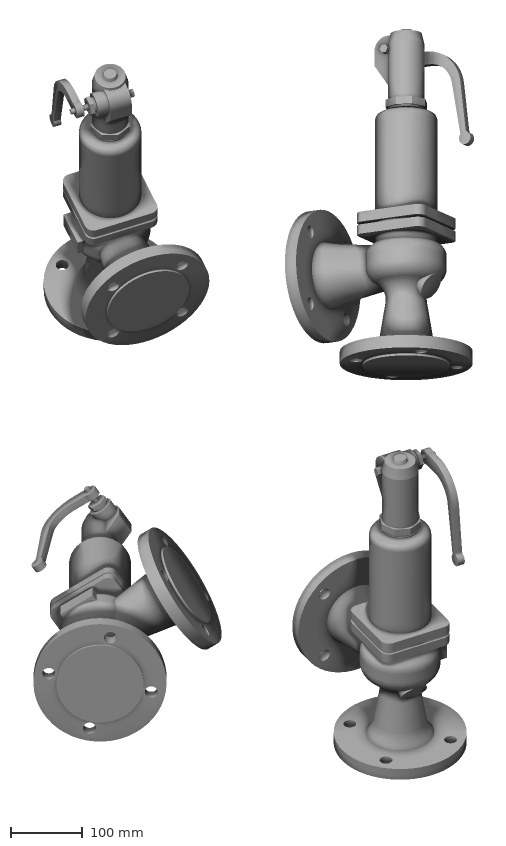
import cadquery as cq
import math


flange_radius = 92.5
flange_back = 21.0
raised_face_radius = 60.5
raised_face_height = 3.5
bolt_circle_radius = 72.5
bolt_hole_diameter = 18.0
bolt_count = 4
flare_root_radius = 47.0

inlet_flare_radius = 37.0
inlet_flare_end = 42.0

outlet_flare_radius = 41.5
outlet_flare_end = 43.5
outlet_end_radius = 31.0
outlet_length = 116.0
outlet_face_x = 145.0
outlet_axis_z = 145.0

throat_radius = 29.0
throat_z = 91.0
throat_bend_radius = 33.0
throat_bend_z = 110.7
body_radius = 56.5
body_foot_radius = 42.0
body_foot_z = 118.5
belt_bottom_z = 140.5
belt_top_z = 156.5
body_neck_radius = 45.0
body_neck_z = 174.0
groove_radius = 43.0
groove_bottom_z = 176.5
groove_round = 2.5

square_half_width = 53.5
square_corner_radius = 12.5
lower_flange_z = 183.5
gasket_z = 197.0
gasket_radius = 50.5
spigot_z = 199.0
spigot_radius = 47.5
upper_flange_z = 201.0
bonnet_z = 215.0

bonnet_radius = 43.5
bonnet_top_z = 362.5
bonnet_round = 10.5
foot_ring_z = 364.0
collar_radius = 21.5
washer_z = 366.5
nut_z = 369.5
nut_corner_radius = 30.0
nut_sides = 8
cap_z = 380.0
cap_radius = 25.5
cap_cone_z = 461.0
cap_top_radius = 21.5
cap_top_z = 476.5
button_base_radius = 10.5
button_top_radius = 8.5
overall_height = 481.5

plate_width = 54.0
plate_bottom_z = 141.5
plate_height = 23.5
plate_face_y = -59.0

drain_radius = 19.7
drain_face_x = -39.5
drain_face_z = 110.0
drain_slope = 35.0
drain_length = 33.5

pivot_x = 21.5
pivot_z = 452.5
housing_half_width = 16.0
housing_radius = 20.0
housing_side_bottom_z = 432.5
housing_tip_x = 19.7
housing_tip_z = 401.0
bearing_radius = 17.0
bearing_end_y = -32.5
spacer_radius = 11.5
hex_sides = 6
gland_start_y = -36.0
gland_end_y = -42.0
gland_corner_radius = 14.5
pin_radius = 4.1
pin_end_y = -67.5
plug_corner_radius = 6.5
plug_end_y = 26.0

lever_front_y = -61.5
lever_thickness = 10.5
hub_radius = 11.0
arm_width = 19.0
arm_half_width = arm_width / 2
outer_bend_x = -2.0
inner_bend_x = -7.0
bend_radius = 46.5
outer_bend_stop = 7.0
inner_bend_stop = 11.0
knob_x = -64.5
knob_z = 331.0
knob_radius = 9.0
knob_blend = 5.0
arm_end_outer = 3.0
arm_end_inner = 6.0


def z_cylinder(radius, bottom, top):
    return cq.Workplane("XY").workplane(offset=bottom).circle(radius).extrude(top - bottom)


def flanged_stub(flare_end_radius, flare_end, end_radius, end):
    """Flange, flare and tapering pipe along +Z, sealing face at Z = 0."""
    stub = (
        cq.Workplane("XZ")
        .lineTo(0, end)
        .lineTo(end_radius, end)
        .lineTo(flare_end_radius, flare_end)
        .tangentArcPoint((flare_root_radius, flange_back), relative=False)
        .lineTo(flange_radius, flange_back)
        .lineTo(flange_radius, raised_face_height)
        .lineTo(raised_face_radius, raised_face_height)
        .lineTo(raised_face_radius, 0)
        .close()
        .revolve(360, (0, 0, 0), (0, 1, 0))
    )
    holes = (
        cq.Workplane("XY")
        .polarArray(bolt_circle_radius, 180 / bolt_count, 360, bolt_count)
        .circle(bolt_hole_diameter / 2)
        .extrude(flange_back)
    )
    return stub.cut(holes)


def arc_radius(inset, rise):
    """Radius of an arc that leaves the vertical and moves in by inset over the given rise."""
    return (inset ** 2 + rise ** 2) / (2 * inset)


def body():
    lower_round = arc_radius(body_radius - body_foot_radius, belt_bottom_z - body_foot_z)
    groove_bend = arc_radius(body_neck_radius - groove_radius, groove_bottom_z - body_neck_z)
    return (
        cq.Workplane("XZ")
        .moveTo(0, throat_z)
        .lineTo(throat_radius, throat_z)
        .threePointArc((throat_bend_radius, throat_bend_z), (body_foot_radius, body_foot_z))
        .radiusArc((body_radius, belt_bottom_z), -lower_round)
        .lineTo(body_radius, belt_top_z)
        .tangentArcPoint((body_neck_radius, body_neck_z), relative=False)
        .radiusArc((groove_radius, groove_bottom_z), groove_bend)
        .lineTo(groove_radius, lower_flange_z - groove_round)
        .tangentArcPoint((groove_round, groove_round))
        .lineTo(0, lower_flange_z)
        .close()
        .revolve(360, (0, 0, 0), (0, 1, 0))
    )


def square_flange(bottom, top):
    side = 2 * square_half_width
    return (
        cq.Workplane("XY").workplane(offset=bottom).rect(side, side).extrude(top - bottom)
        .edges("|Z").fillet(square_corner_radius)
    )


def bonnet_and_cap():
    nut = (
        cq.Workplane("XY").workplane(offset=nut_z)
        .polygon(nut_sides, 2 * nut_corner_radius).extrude(cap_z - nut_z)
    )
    bonnet = z_cylinder(bonnet_radius, bonnet_z, bonnet_top_z).faces(">Z").edges().fillet(bonnet_round)
    cap = (
        cq.Workplane("XZ")
        .moveTo(0, bonnet_top_z)
        .lineTo(cap_radius, bonnet_top_z)
        .lineTo(cap_radius, foot_ring_z)
        .lineTo(collar_radius, foot_ring_z)
        .lineTo(collar_radius, washer_z)
        .lineTo(cap_radius, washer_z)
        .lineTo(cap_radius, cap_cone_z)
        .lineTo(cap_top_radius, cap_top_z)
        .lineTo(button_base_radius, cap_top_z)
        .lineTo(button_top_radius, overall_height)
        .lineTo(0, overall_height)
        .close()
        .revolve(360, (0, 0, 0), (0, 1, 0))
    )
    return bonnet.union(nut).union(cap)


def name_plate():
    return (
        cq.Workplane("XY", origin=(0, plate_face_y, plate_bottom_z))
        .box(plate_width, -plate_face_y, plate_height, centered=(True, False, False))
    )


def drain_boss():
    slope = math.radians(drain_slope)
    face = cq.Plane(
        origin=(drain_face_x, 0, drain_face_z),
        xDir=(0, 1, 0),
        normal=(math.cos(slope), 0, math.sin(slope)),
    )
    return cq.Workplane(face).circle(drain_radius).extrude(drain_length)


def pivot_plane(y):
    """Sketch plane square to the lever pin, its normal pointing to -Y."""
    return cq.Workplane("XZ", origin=(pivot_x, y, pivot_z))


def lever_bearing():
    housing = (
        cq.Workplane("XZ", origin=(0, housing_half_width, 0))
        .moveTo(0, pivot_z + housing_radius)
        .lineTo(pivot_x, pivot_z + housing_radius)
        .tangentArcPoint((pivot_x + housing_radius, pivot_z), relative=False)
        .lineTo(pivot_x + housing_radius, housing_side_bottom_z)
        .lineTo(housing_tip_x, housing_tip_z)
        .lineTo(0, housing_tip_z)
        .close()
        .extrude(2 * housing_half_width)
    )
    bearing = pivot_plane(0).circle(bearing_radius).extrude(-bearing_end_y)
    spacer = pivot_plane(bearing_end_y).circle(spacer_radius).extrude(bearing_end_y - gland_start_y)
    gland = (
        pivot_plane(gland_start_y).polygon(hex_sides, 2 * gland_corner_radius)
        .extrude(gland_start_y - gland_end_y)
    )
    pin = pivot_plane(0).circle(pin_radius).extrude(-pin_end_y)
    plug = pivot_plane(plug_end_y).polygon(hex_sides, 2 * plug_corner_radius).extrude(plug_end_y)
    return housing.union(bearing).union(spacer).union(gland).union(pin).union(plug)


def lever():
    bend_z = pivot_z - bend_radius
    outer_radius = bend_radius + arm_half_width
    inner_radius = bend_radius - arm_half_width

    def on_bend(center_x, radius, degrees_up):
        angle = math.radians(degrees_up)
        return (center_x - radius * math.cos(angle), bend_z + radius * math.sin(angle))

    def back_plane():
        return cq.Workplane("XZ", origin=(0, lever_front_y + lever_thickness, 0))

    arm = (
        back_plane()
        .moveTo(pivot_x, pivot_z + arm_half_width)
        .lineTo(outer_bend_x, pivot_z + arm_half_width)
        .tangentArcPoint(on_bend(outer_bend_x, outer_radius, outer_bend_stop), relative=False)
        .lineTo(knob_x - arm_end_outer, knob_z)
        .lineTo(knob_x + arm_end_inner, knob_z)
        .lineTo(*on_bend(inner_bend_x, inner_radius, inner_bend_stop))
        .tangentArcPoint((inner_bend_x, pivot_z - arm_half_width), relative=False)
        .lineTo(pivot_x, pivot_z - arm_half_width)
        .close()
        .extrude(lever_thickness)
    )
    ends = (
        back_plane()
        .moveTo(pivot_x, pivot_z).circle(hub_radius)
        .moveTo(knob_x, knob_z).circle(knob_radius)
        .extrude(lever_thickness)
    )
    blend_corner = (knob_x - arm_end_outer, lever_front_y, knob_z + knob_radius)
    return (
        arm.union(ends)
        .edges("|Y").edges(cq.selectors.NearestToPointSelector(blend_corner))
        .fillet(knob_blend)
    )


inlet = flanged_stub(inlet_flare_radius, inlet_flare_end, throat_radius, throat_z)
outlet = (
    flanged_stub(outlet_flare_radius, outlet_flare_end, outlet_end_radius, outlet_length)
    .rotate((0, 0, 0), (0, 1, 0), -90)
    .translate((outlet_face_x, 0, outlet_axis_z))
)

result = (
    inlet.union(body())
    .union(outlet)
    .union(square_flange(lower_flange_z, gasket_z))
    .union(z_cylinder(gasket_radius, gasket_z, spigot_z))
    .union(z_cylinder(spigot_radius, spigot_z, upper_flange_z))
    .union(square_flange(upper_flange_z, bonnet_z))
    .union(bonnet_and_cap())
    .union(name_plate())
    .union(drain_boss())
    .union(lever_bearing())
    .union(lever())
)